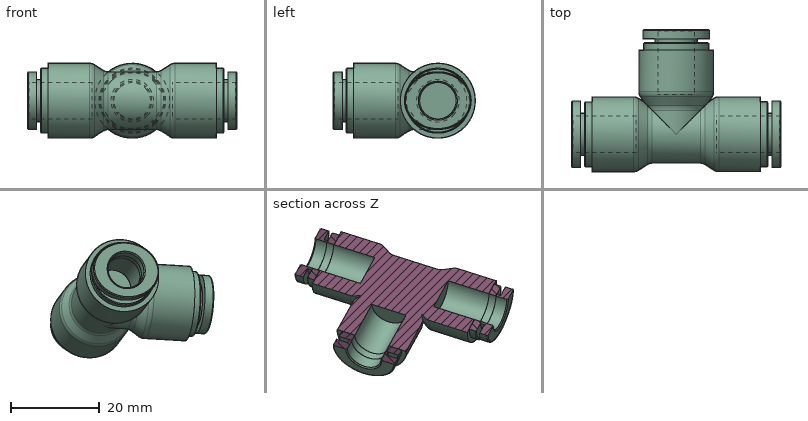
import cadquery as cq
import math

port_angles = (0, 90, 180)

port_length = 23.6
flange_inner_face = 21.5
collar_outer_face = 20.65
housing_face = 18.97
shoulder_end = 9.0
shoulder_start = 6.0

housing_radius = 16.9 / 2
waist_radius = 6.5
shoulder_fillet = 2.0
collar_diameter = 14.7
collar_chamfer = 0.25
neck_diameter = 9.6
bore_diameter = 8.2

flange_width = 15.05
flange_height = 13.05
flange_chamfer = 0.25
bore_chamfer = 0.3

socket_floor = shoulder_end


def cylinder(diameter, start, end):
    """Round bar on the X axis between two distances from the centre."""
    return cq.Workplane("YZ", origin=(start, 0, 0)).circle(diameter / 2).extrude(end - start)


def at_port(body, angle):
    return body.rotate((0, 0, 0), (0, 0, 1), angle)


def housing_arm():
    """One arm from the centre: waist, conical shoulder with rounded edges, and straight end."""
    slope = math.atan2(housing_radius - waist_radius, shoulder_end - shoulder_start)
    bend_length = shoulder_fillet * math.tan(slope / 2)
    along = bend_length * math.cos(slope)
    rise = bend_length * math.sin(slope)
    middle_along = shoulder_fillet * math.sin(slope / 2)
    middle_rise = shoulder_fillet * (1 - math.cos(slope / 2))
    waist_bend = shoulder_start - bend_length
    end_bend = shoulder_end + bend_length
    return (
        cq.Workplane("XY")
        .lineTo(0, waist_radius)
        .lineTo(waist_bend, waist_radius)
        .threePointArc(
            (waist_bend + middle_along, waist_radius + middle_rise),
            (shoulder_start + along, waist_radius + rise),
        )
        .lineTo(shoulder_end - along, housing_radius - rise)
        .threePointArc(
            (end_bend - middle_along, housing_radius - middle_rise),
            (end_bend, housing_radius),
        )
        .lineTo(housing_face, housing_radius)
        .lineTo(housing_face, 0)
        .close()
        .revolve(360, (0, 0, 0), (1, 0, 0))
    )


def make_housing():
    arm = housing_arm()
    socket = cylinder(bore_diameter, socket_floor, housing_face)
    housing = at_port(arm, port_angles[0])
    for angle in port_angles[1:]:
        housing = housing.union(at_port(arm, angle))
    for angle in port_angles:
        housing = housing.cut(at_port(socket, angle))
    return housing


def make_collar():
    """Ring seated on the end face of the housing."""
    ring = cylinder(collar_diameter, housing_face, collar_outer_face)
    ring = ring.faces(">X").edges().chamfer(collar_chamfer)
    return ring.cut(cylinder(bore_diameter, housing_face, collar_outer_face))


def make_sleeve():
    """Release sleeve: elliptical flange on a short neck that stands on the collar."""
    flange = (
        cq.Workplane("YZ", origin=(flange_inner_face, 0, 0))
        .ellipse(flange_width / 2, flange_height / 2)
        .extrude(port_length - flange_inner_face)
    )
    flange = flange.faces(">X").edges().chamfer(flange_chamfer)
    sleeve = flange.union(cylinder(neck_diameter, collar_outer_face, flange_inner_face))
    sleeve = sleeve.cut(cylinder(bore_diameter, collar_outer_face, port_length))
    bore_rim = sleeve.faces(">X").edges("%CIRCLE")
    return bore_rim.chamfer(bore_chamfer)


housing = make_housing()
collars = [at_port(make_collar(), angle) for angle in port_angles]
sleeves = [at_port(make_sleeve(), angle) for angle in port_angles]

result = cq.Compound.makeCompound([body.val() for body in (housing, *collars, *sleeves)])